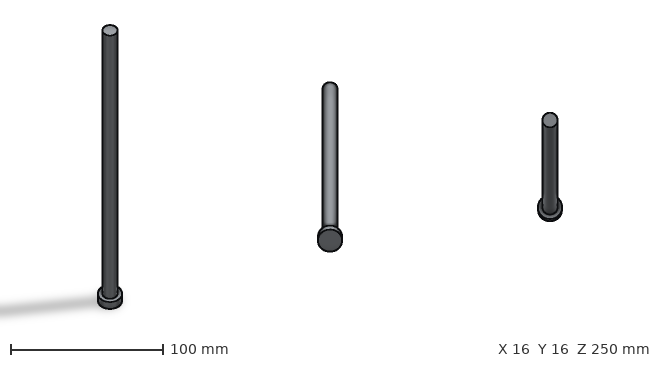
import cadquery as cq

total_length = 250.0
shaft_diameter = 10.0
head_diameter = 16.0
head_height = 6.5

head = cq.Workplane("XY").circle(head_diameter / 2).extrude(head_height)
shaft = cq.Workplane("XY").circle(shaft_diameter / 2).extrude(total_length)

result = head.union(shaft)